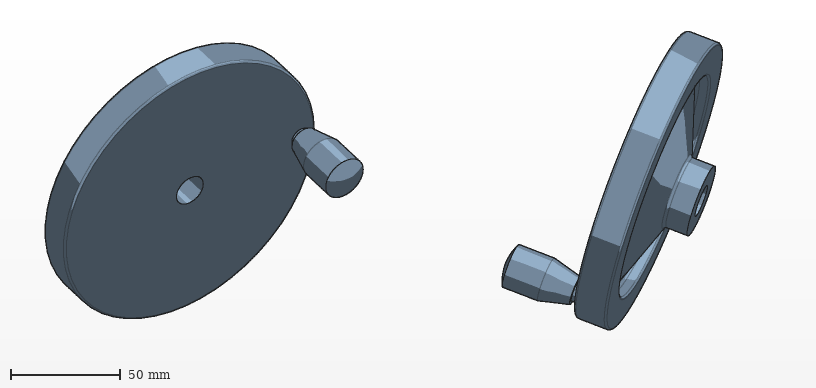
import cadquery as cq

wheel_radius = 140.0 / 2
hub_radius = 34.0 / 2
bore_radius = 15.0 / 2
recess_radius = 107.8 / 2
rim_front = 18.0
rim_width = 16.0
rim_back = rim_front + rim_width
cone_start = 11.5
cone_slope = 2.7
cone_end = cone_start + (recess_radius - hub_radius) / cone_slope
edge_round = 1.0
root_round = 1.5

overall_length = 70.7
overall_width = 142.5
neck_radius = 10.1 / 2
grip_radius = 21.0 / 2
grip_base_radius = 6.8
neck_length = 2.5
taper_length = 14.2
dome_height = 2.5
grip_offset = overall_width - wheel_radius - grip_radius


def revolve_about_x(profile):
    return profile.close().revolve(360, (0, 0, 0), (1, 0, 0))


def circles_at(x, radius):
    """Select the circles about the X axis in the plane at x, up to the given radius."""
    tolerance = 0.01
    return cq.selectors.BoxSelector(
        (x - tolerance, -radius - tolerance, -radius - tolerance),
        (x + tolerance, radius + tolerance, radius + tolerance),
        boundingbox=True,
    )


def make_wheel():
    profile = (
        cq.Workplane("XY")
        .moveTo(0, bore_radius)
        .lineTo(0, hub_radius)
        .lineTo(cone_start, hub_radius)
        .lineTo(cone_end, recess_radius)
        .lineTo(rim_front, recess_radius)
        .lineTo(rim_front, wheel_radius)
        .lineTo(rim_back, wheel_radius)
        .lineTo(rim_back, bore_radius)
    )
    wheel = revolve_about_x(profile)
    for x, radius in ((cone_start, hub_radius), (cone_end, recess_radius)):
        wheel = wheel.edges(circles_at(x, radius)).fillet(root_round)
    wheel = wheel.edges(circles_at(rim_front, wheel_radius)).fillet(edge_round)
    back_edges = circles_at(rim_back, wheel_radius) - circles_at(rim_back, bore_radius)
    return wheel.edges(back_edges).fillet(edge_round)


def make_grip():
    base = rim_back + neck_length
    taper_end = base + taper_length
    dome_start = overall_length - dome_height
    sphere_radius = (grip_radius**2 + dome_height**2) / (2 * dome_height)
    middle_radius = grip_radius / 2
    middle_drop = sphere_radius - (sphere_radius**2 - middle_radius**2) ** 0.5
    neck_root = rim_back - edge_round
    profile = (
        cq.Workplane("XY")
        .moveTo(neck_root, 0)
        .lineTo(neck_root, neck_radius)
        .lineTo(base, neck_radius)
        .lineTo(base, grip_base_radius)
        .lineTo(taper_end, grip_radius)
        .lineTo(dome_start, grip_radius)
        .threePointArc((overall_length - middle_drop, middle_radius), (overall_length, 0))
    )
    return revolve_about_x(profile).translate((0, grip_offset, 0))


result = make_wheel().union(make_grip())